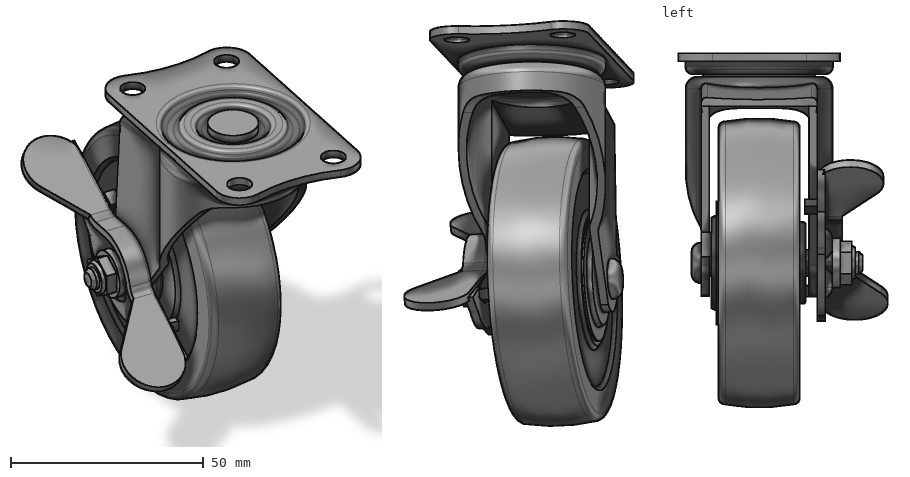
import cadquery as cq
import math


SHEET = 2.1

WHEEL_R = 37.5
TREAD_EDGE_R = 36.7
TREAD_EDGE_Y = 8.8
WHEEL_HALF_W = 10.6
SIDE_FACE_R = 34.7
TREAD_EDGE_BULGE = 0.5
RECESS_OUTER_R = 28.8
RECESS_INNER_R = 18.3
RECESS_SLOPE = 1.1
RECESS_DEPTH = 1.0
RAISED_DISC_R = 16.0
RAISED_DISC_H = 0.5
BACK_COVER_R = 12.4
BACK_COVER_TOP_R = 11.8
BACK_COVER_Y = 12.4
FRONT_COVER_R = 10.7
FRONT_COVER_H = 1.5
FRONT_COVER_ROUND = 0.8
SPACER_R = 3.5

BOLT_R = 2.9
BOLT_HEAD_R = 5.3
BOLT_HEAD_H = 2.5
BOLT_HEAD_ROUND = 2.4
BOLT_END_Y = -26.9
BOLT_TIP_CHAMFER = 1.0
NUT_FLANGE_R = 6.4
NUT_FLANGE_H = 2.0
NUT_FLATS = 9.7
NUT_HEX_H = 3.0
NUT_COLLAR_R = 4.6
NUT_COLLAR_TOP_R = 4.0
NUT_COLLAR_H = 0.9

LEG_INNER_Y = 12.9
LEG_OUTER_Y = LEG_INNER_Y + SHEET
SWIVEL_X = 28.9
CROWN_R = 19.1
CROWN_TOP = 48.3
CROWN_ROUND = 3.1
SKIRT_BOTTOM = 40.1
SKIRT_ROUND = 8.1
LEG_END_R = 8.6
ROOF_START = (-4.1, 43.0)
ROOF_SLOPE = math.radians(10)
ROOF_TIP_X = -7.8
ROOF_ROUND = 1.5
ROOF_TRIM_Z = 39.1
LEG_TO_CROWN_ROUND = 2.5
KINGPIN_R = 6.6
BEARING_R = 14.6

PLATE_TOP = 54.4
PLATE_LENGTH = 70.0
PLATE_WIDTH = 42.0
CORNER_R = 6.8
WAIST_DEPTH = 2.1
HOLE_DIA = 6.5
HOLE_PITCH_X = 56.0
HOLE_PITCH_Y = 28.0
TROUGH_DEPTH = 2.1
CREST_DEPTH = 0.2
DISH_OUTER_R = 19.2
DISH_HEIGHT = 3.3
DISH_ROUND = 2.0

LEVER_BACK_Y = -LEG_OUTER_Y
LEVER_FRONT_Y = LEVER_BACK_Y - SHEET
FLANGE_EDGE_Y = -21.6
ARCH_R = 12.2
PADDLE_SLOPE = math.radians(30)
LEFT_BEND_R = 6.6
RIGHT_BEND_R = 5.1
LEFT_CORNER_X = -7.0
RIGHT_LINE_OFFSET = 6.75
PADDLE_R = 8.6
LEFT_PADDLE_REACH = 16.8
RIGHT_PADDLE_REACH = 18.3
LEFT_PADDLE_Y = LEVER_BACK_Y - PADDLE_R
RIGHT_PADDLE_Y = -24.8
WEB_LEFT_REACH = 22.3
WEB_RIGHT_REACH = 20.3
FOLD_R = 1.0
BEAD_R = 3.0
BEAD_HALF_LENGTH = 6.3
BEAD_TOP_Y = -19.0
LUG_BACK_Y = -11.8
LUG_LENGTH = 4.1
LUG_START = 5.1
SLOT_HEIGHT = 2.9
TONGUE_X = 16.7
TONGUE_BEND_R = 4.5
TONGUE_SLOT_LENGTH = 6.8
TONGUE_Z = -7.3

CLEAR = 60.9


def xz_plane(y):
    """Sketch plane at the given Y whose extrusions run toward -Y."""
    return cq.Workplane("XZ", origin=(0, y, 0))


def turned_about_y(profile):
    """Solid of revolution about the Y axis from (radius, y) points."""
    return cq.Workplane("XY").polyline(profile).close().revolve(360, (0, 0, 0), (0, 1, 0))


def make_wheel():
    inner_edge = RECESS_INNER_R - RECESS_SLOPE
    floor_outer = RECESS_OUTER_R - RECESS_SLOPE
    floor = WHEEL_HALF_W - RECESS_DEPTH
    disc_top = WHEEL_HALF_W + RAISED_DISC_H
    cover_top = WHEEL_HALF_W + FRONT_COVER_H
    edge_mid_r = TREAD_EDGE_R - TREAD_EDGE_BULGE
    edge_mid_y = WHEEL_HALF_W - TREAD_EDGE_BULGE
    section = (
        cq.Workplane("XY")
        .moveTo(BOLT_R, -LEG_INNER_Y)
        .lineTo(SPACER_R, -LEG_INNER_Y)
        .lineTo(SPACER_R, -cover_top)
        .lineTo(FRONT_COVER_R - FRONT_COVER_ROUND, -cover_top)
        .tangentArcPoint((FRONT_COVER_R, FRONT_COVER_ROUND - cover_top), relative=False)
        .lineTo(FRONT_COVER_R, -WHEEL_HALF_W)
        .lineTo(inner_edge, -WHEEL_HALF_W)
        .lineTo(RECESS_INNER_R, -floor)
        .lineTo(floor_outer, -floor)
        .lineTo(RECESS_OUTER_R, -WHEEL_HALF_W)
        .lineTo(SIDE_FACE_R, -WHEEL_HALF_W)
        .threePointArc((edge_mid_r, -edge_mid_y), (TREAD_EDGE_R, -TREAD_EDGE_Y))
        .threePointArc((WHEEL_R, 0), (TREAD_EDGE_R, TREAD_EDGE_Y))
        .threePointArc((edge_mid_r, edge_mid_y), (SIDE_FACE_R, WHEEL_HALF_W))
        .lineTo(RECESS_OUTER_R, WHEEL_HALF_W)
        .lineTo(floor_outer, floor)
        .lineTo(RECESS_INNER_R, floor)
        .lineTo(inner_edge, WHEEL_HALF_W)
        .lineTo(RAISED_DISC_R, WHEEL_HALF_W)
        .lineTo(RAISED_DISC_R, disc_top)
        .lineTo(BACK_COVER_R, disc_top)
        .lineTo(BACK_COVER_TOP_R, BACK_COVER_Y)
        .lineTo(SPACER_R, BACK_COVER_Y)
        .lineTo(SPACER_R, LEG_INNER_Y)
        .lineTo(BOLT_R, LEG_INNER_Y)
        .close()
    )
    return section.revolve(360, (0, 0, 0), (0, 1, 0))


def make_bolt():
    length = LEG_OUTER_Y - BOLT_END_Y
    shank = xz_plane(LEG_OUTER_Y).circle(BOLT_R).extrude(length)
    shank = shank.faces("<Y").chamfer(BOLT_TIP_CHAMFER)
    head = xz_plane(LEG_OUTER_Y).circle(BOLT_HEAD_R).extrude(-BOLT_HEAD_H)
    head = head.faces(">Y").edges().fillet(BOLT_HEAD_ROUND)
    return shank.union(head)


def make_nut():
    hex_y = BEAD_TOP_Y - NUT_FLANGE_H
    collar_y = hex_y - NUT_HEX_H
    corner_diameter = NUT_FLATS / math.cos(math.pi / 6)
    flange = xz_plane(BEAD_TOP_Y).circle(NUT_FLANGE_R).extrude(NUT_FLANGE_H)
    hexagon = (
        cq.Workplane("XZ", origin=(0, hex_y, 0))
        .transformed(rotate=(0, 0, 30))
        .polygon(6, corner_diameter)
        .extrude(NUT_HEX_H)
    )
    collar = turned_about_y([
        (0, collar_y),
        (NUT_COLLAR_R, collar_y),
        (NUT_COLLAR_TOP_R, collar_y - NUT_COLLAR_H),
        (0, collar_y - NUT_COLLAR_H),
    ])
    bore = xz_plane(BEAD_TOP_Y).circle(BOLT_R).extrude(CLEAR)
    return flange.union(hexagon).union(collar).cut(bore)


def fork_block(inset):
    """Crown and leg block, shrunk on every outer side by the inset."""
    crown = (
        cq.Workplane("XY", origin=(SWIVEL_X, 0, -CLEAR))
        .circle(CROWN_R - inset)
        .extrude(CLEAR + CROWN_TOP - inset)
        .faces(">Z").edges().fillet(CROWN_ROUND - inset)
    )
    back_x = ROOF_TIP_X - SHEET
    front_x = SWIVEL_X - CROWN_R / 2
    rise = math.tan(ROOF_SLOPE)
    start_z = ROOF_START[1] - inset / math.cos(ROOF_SLOPE)
    half_width = LEG_OUTER_Y - inset
    legs = (
        xz_plane(half_width)
        .polyline([
            (back_x, -CLEAR),
            (front_x, -CLEAR),
            (front_x, start_z + (front_x - ROOF_START[0]) * rise),
            (back_x, start_z + (back_x - ROOF_START[0]) * rise),
        ])
        .close()
        .extrude(2 * half_width)
    )
    if inset < ROOF_ROUND:
        legs = legs.faces(">Z").edges("#Y").edges("<Y or >Y").fillet(ROOF_ROUND - inset)
    return crown.union(legs)


def leg_to_crown_blend(side):
    """Hollow upright fillet where a leg runs into the round crown."""
    centre_y = LEG_OUTER_Y + LEG_TO_CROWN_ROUND
    centre_dx = math.sqrt((CROWN_R + LEG_TO_CROWN_ROUND) ** 2 - centre_y ** 2)
    centre_x = SWIVEL_X - centre_dx
    share = CROWN_R / (CROWN_R + LEG_TO_CROWN_ROUND)
    crown_touch = (SWIVEL_X - centre_dx * share, side * centre_y * share)
    leg_touch = (centre_x, side * LEG_OUTER_Y)
    toward_seam = math.atan2(crown_touch[1] + leg_touch[1] - 2 * side * centre_y,
                             crown_touch[0] + leg_touch[0] - 2 * centre_x)
    arc_middle = (centre_x + LEG_TO_CROWN_ROUND * math.cos(toward_seam),
                  side * centre_y + LEG_TO_CROWN_ROUND * math.sin(toward_seam))
    root = (SWIVEL_X - CROWN_R / 2, side * (LEG_OUTER_Y - SHEET / 2))
    return (
        cq.Workplane("XY", origin=(0, 0, -CLEAR))
        .moveTo(*leg_touch)
        .threePointArc(arc_middle, crown_touch)
        .lineTo(*root)
        .lineTo(leg_touch[0], root[1])
        .close()
        .extrude(CLEAR + CROWN_TOP - CROWN_ROUND)
    )


def fork_side_outline():
    """Block with the side outline of the fork: rounded leg end, slanted edges, skirt."""
    leg_front_foot = (3.9, -7.7)
    leg_back_foot = (-7.3, -0.5)
    leg_back_top = (-4.1, 40.6)
    front_edge_slope = 0.79
    rise = SKIRT_BOTTOM - leg_front_foot[1]
    corner_x = leg_front_foot[0] + rise * front_edge_slope
    blank = (
        xz_plane(CLEAR)
        .moveTo(*leg_back_foot)
        .threePointArc((0, -LEG_END_R), leg_front_foot)
        .lineTo(corner_x, SKIRT_BOTTOM)
        .lineTo(CLEAR, SKIRT_BOTTOM)
        .lineTo(CLEAR, CLEAR)
        .lineTo(ROOF_TIP_X - SHEET, CLEAR)
        .lineTo(ROOF_TIP_X - SHEET, leg_back_top[1])
        .lineTo(*leg_back_top)
        .close()
        .extrude(2 * CLEAR)
    )
    at_corner = cq.selectors.NearestToPointSelector((corner_x, 0, SKIRT_BOTTOM))
    return blank.edges("|Y").edges(at_corner).fillet(SKIRT_ROUND)


def roof_end_trim():
    """Everything behind the bowed free edge of the roof."""
    return (
        cq.Workplane("XY", origin=(0, 0, ROOF_TRIM_Z))
        .moveTo(ROOF_START[0], -LEG_OUTER_Y)
        .threePointArc((ROOF_TIP_X, 0), (ROOF_START[0], LEG_OUTER_Y))
        .lineTo(-CLEAR, LEG_OUTER_Y)
        .lineTo(-CLEAR, -LEG_OUTER_Y)
        .close()
        .extrude(CLEAR)
    )


def stop_lug():
    """Lug with a slanted back on the rear edge of the +Y leg."""
    back_foot_x = -11.8
    back_top_x = -10.4
    root_x = -6.6
    bottom_z = 1.6
    height = 6.3
    return (
        cq.Workplane("XY", origin=(0, 0, bottom_z))
        .polyline([
            (back_foot_x, BACK_COVER_Y),
            (root_x, BACK_COVER_Y),
            (root_x, LEG_OUTER_Y),
            (back_top_x, LEG_OUTER_Y),
        ])
        .close()
        .extrude(height)
    )


def make_fork():
    shell = fork_block(0)
    for side in (-1, 1):
        shell = shell.union(leg_to_crown_blend(side))
    shell = shell.cut(fork_block(SHEET))
    shell = shell.intersect(fork_side_outline()).cut(roof_end_trim())

    dish_bottom = PLATE_TOP - SHEET - DISH_HEIGHT
    crown_base = cq.Workplane("XY", origin=(SWIVEL_X, 0, CROWN_TOP - SHEET))
    bearing = crown_base.circle(BEARING_R).extrude(dish_bottom - CROWN_TOP + SHEET)
    kingpin = crown_base.circle(KINGPIN_R).extrude(PLATE_TOP - CROWN_TOP + SHEET)
    axle_hole = xz_plane(CLEAR).circle(BOLT_R).extrude(2 * CLEAR)
    return shell.union(stop_lug()).union(bearing).union(kingpin).cut(axle_hole)


def plate_blank():
    half_l = PLATE_LENGTH / 2
    half_w = PLATE_WIDTH / 2
    corner_x = half_l - CORNER_R
    corner_y = half_w - CORNER_R
    waist_x = half_l - WAIST_DEPTH
    gap = waist_x - corner_x
    waist_r = (gap ** 2 + corner_y ** 2 - CORNER_R ** 2) / (2 * (CORNER_R - gap))
    share = CORNER_R / (waist_r + CORNER_R)
    touch_x = corner_x + share * (waist_x + waist_r - corner_x)
    touch_y = corner_y * (1 - share)
    return (
        cq.Workplane("XY", origin=(SWIVEL_X, 0, PLATE_TOP))
        .moveTo(-corner_x, half_w)
        .lineTo(corner_x, half_w)
        .threePointArc((corner_x + CORNER_R * math.sqrt(0.5), corner_y + CORNER_R * math.sqrt(0.5)),
                       (half_l, corner_y))
        .tangentArcPoint((touch_x, touch_y), relative=False)
        .threePointArc((waist_x, 0), (touch_x, -touch_y))
        .tangentArcPoint((half_l, -corner_y), relative=False)
        .tangentArcPoint((corner_x, -half_w), relative=False)
        .lineTo(-corner_x, -half_w)
        .tangentArcPoint((-half_l, -corner_y), relative=False)
        .tangentArcPoint((-touch_x, -touch_y), relative=False)
        .threePointArc((-waist_x, 0), (-touch_x, touch_y))
        .tangentArcPoint((-half_l, corner_y), relative=False)
        .tangentArcPoint((-corner_x, half_w), relative=False)
        .close()
        .extrude(-SHEET)
    )


def s_bend(sketch, start, end):
    """Two equal tangent arcs between two level stretches."""
    middle = ((start[0] + end[0]) / 2, (start[1] + end[1]) / 2)
    return sketch.tangentArcPoint(middle, relative=False).tangentArcPoint(end, relative=False)


def dish_cavity():
    """Rounded annular trough, crest and inner trough around the kingpin."""
    trough = -TROUGH_DEPTH
    rim = (20.0, 0)
    trough_outer = (17.3, trough)
    trough_inner = (15.5, trough)
    crest_outer = (12.8, -CREST_DEPTH)
    crest_inner = (11.1, -CREST_DEPTH)
    pin_trough = (8.2, trough)
    sketch = (
        cq.Workplane("XZ", origin=(SWIVEL_X, 0, PLATE_TOP))
        .moveTo(0, SHEET)
        .lineTo(rim[0] + SHEET, SHEET)
        .lineTo(rim[0] + SHEET, 0)
        .lineTo(*rim)
    )
    sketch = s_bend(sketch, rim, trough_outer).lineTo(*trough_inner)
    sketch = s_bend(sketch, trough_inner, crest_outer).lineTo(*crest_inner)
    sketch = s_bend(sketch, crest_inner, pin_trough).lineTo(0, trough)
    return sketch.close().revolve(360, (0, 0, 0), (0, 1, 0))


def make_top_plate():
    dish = (
        cq.Workplane("XY", origin=(SWIVEL_X, 0, PLATE_TOP - SHEET))
        .circle(DISH_OUTER_R)
        .extrude(-DISH_HEIGHT)
        .faces("<Z").edges().fillet(DISH_ROUND)
    )
    holes = (
        cq.Workplane("XY", origin=(SWIVEL_X, 0, PLATE_TOP))
        .rarray(HOLE_PITCH_X, HOLE_PITCH_Y, 2, 2)
        .circle(HOLE_DIA / 2)
        .extrude(-SHEET)
    )
    pin_hole = cq.Workplane("XY", origin=(SWIVEL_X, 0, 0)).circle(KINGPIN_R).extrude(CLEAR)
    return plate_blank().union(dish).cut(dish_cavity()).cut(holes).cut(pin_hole)


SIN_P = math.sin(PADDLE_SLOPE)
COS_P = math.cos(PADDLE_SLOPE)


def along_paddle(point, distance):
    """Point moved down the paddle slope, toward +X."""
    return (point[0] + distance * COS_P, point[1] - distance * SIN_P)


BEND_SETBACK = LEFT_BEND_R * math.tan(PADDLE_SLOPE / 2)
LEFT_BEND = along_paddle((LEFT_CORNER_X, ARCH_R), -BEND_SETBACK)
LEFT_FLAT = (LEFT_CORNER_X + BEND_SETBACK, ARCH_R)
REVERSE_ALONG = math.sqrt((ARCH_R + RIGHT_BEND_R) ** 2 - (RIGHT_LINE_OFFSET + RIGHT_BEND_R) ** 2)
LINE_FOOT = (RIGHT_LINE_OFFSET * SIN_P, RIGHT_LINE_OFFSET * COS_P)
RIGHT_BEND = along_paddle(LINE_FOOT, REVERSE_ALONG)
REVERSE_CENTRE = (RIGHT_BEND[0] + RIGHT_BEND_R * SIN_P, RIGHT_BEND[1] + RIGHT_BEND_R * COS_P)
ARCH_SHARE = ARCH_R / (ARCH_R + RIGHT_BEND_R)
ARCH_END = (REVERSE_CENTRE[0] * ARCH_SHARE, REVERSE_CENTRE[1] * ARCH_SHARE)


def draw_flange_line(sketch):
    """Mid-thickness line of the flange, from the left bend to the right bend."""
    return (
        sketch
        .tangentArcPoint(LEFT_FLAT, relative=False)
        .lineTo(0, ARCH_R)
        .tangentArcPoint(ARCH_END, relative=False)
        .tangentArcPoint(RIGHT_BEND, relative=False)
    )


def make_flange():
    overlap = 1.0
    lead = along_paddle(LEFT_BEND, -overlap)
    path = draw_flange_line(xz_plane(0).moveTo(*lead).lineTo(*LEFT_BEND))
    width = LEVER_BACK_Y - FLANGE_EDGE_Y
    middle_y = (LEVER_BACK_Y + FLANGE_EDGE_Y) / 2
    start = cq.Plane(origin=(lead[0], 0, lead[1]), xDir=(0, 1, 0), normal=(COS_P, 0, -SIN_P))
    strip = cq.Workplane(start).center(middle_y, 0).rect(width, SHEET).sweep(path)
    flat_top_edge = (LEFT_FLAT[0] / 2, LEVER_BACK_Y, ARCH_R + SHEET / 2)
    fold_edge = cq.selectors.NearestToPointSelector(flat_top_edge)
    return strip.faces(">Y").edges(fold_edge).fillet(FOLD_R)


def tangent_touch(point, centre, radius, side):
    """Where the tangent from a point touches a circle, on the chosen side."""
    dx = point[0] - centre[0]
    dy = point[1] - centre[1]
    angle = math.atan2(dy, dx) + side * math.acos(radius / math.hypot(dx, dy))
    return (centre[0] + radius * math.cos(angle), centre[1] + radius * math.sin(angle))


def make_paddle(bend, direction, reach, centre_y):
    """Sloping foot pad; direction is -1 for uphill (left) and 1 for downhill (right)."""
    back = (0, LEVER_BACK_Y)
    front = (0, FLANGE_EDGE_Y)
    centre = (direction * reach, centre_y)
    back_touch = tangent_touch(back, centre, PADDLE_R, -direction)
    front_touch = tangent_touch(front, centre, PADDLE_R, direction)
    pad = (
        cq.Workplane("XY", origin=(0, 0, -SHEET / 2))
        .moveTo(*back)
        .lineTo(*back_touch)
        .threePointArc((centre[0] + direction * PADDLE_R, centre_y), front_touch)
        .lineTo(*front)
        .close()
        .extrude(SHEET)
    )
    rounded_stock = (
        cq.Workplane("XY")
        .box(2 * CLEAR, CLEAR, SHEET)
        .translate((0, LEVER_BACK_Y - CLEAR / 2, 0))
        .edges(">Y and >Z").fillet(FOLD_R)
    )
    pad = pad.intersect(rounded_stock)
    return pad.rotate((0, 0, 0), (0, 1, 0), math.degrees(PADDLE_SLOPE)).translate((bend[0], 0, bend[1]))


def make_lever_web():
    """Flat web below the flange, with a scalloped lower outline."""
    left_top = along_paddle(LEFT_BEND, -WEB_LEFT_REACH)
    right_top = along_paddle(RIGHT_BEND, WEB_RIGHT_REACH)
    belly_end = (10.1, -13.6)
    belly_bottom = (1.8, -13.7)
    right_lobe_end = (25.3, -12.9)
    step_bottom = (-16.2, 2.2)
    step_top = (-17.9, 4.0)
    left_lobe_end = (-22.1, 13.3)
    sketch = xz_plane(LEVER_BACK_Y).moveTo(*left_top).lineTo(*LEFT_BEND)
    return (
        draw_flange_line(sketch)
        .lineTo(*right_top)
        .threePointArc((28.7, -11.8), right_lobe_end)
        .threePointArc((17.7, -15.1), belly_end)
        .lineTo(*belly_bottom)
        .threePointArc((-10.6, -7.4), step_bottom)
        .lineTo(*step_top)
        .threePointArc((-20.9, 8.5), left_lobe_end)
        .threePointArc((-26.0, 17.3), left_top)
        .close()
        .extrude(SHEET)
    )


def make_bead():
    """Raised rounded rib that runs up and down across the axle hole."""
    axis_y = BEAD_TOP_Y + BEAD_R
    bead = (
        cq.Workplane("XY", origin=(0, axis_y, -BEAD_HALF_LENGTH))
        .circle(BEAD_R)
        .extrude(2 * BEAD_HALF_LENGTH)
    )
    for end in (-1, 1):
        bead = bead.union(cq.Workplane("XY").sphere(BEAD_R).translate((0, axis_y, end * BEAD_HALF_LENGTH)))
    return bead.intersect(xz_plane(LEVER_BACK_Y).rect(CLEAR, CLEAR).extrude(CLEAR))


def sloped_bar(start, length, height, y_from, y_to):
    """Bar below a point on the left paddle line, parallel to the paddle."""
    bar = cq.Workplane("XY").box(length, y_from - y_to, height, centered=False)
    bar = bar.translate((0, y_to, -height))
    return bar.rotate((0, 0, 0), (0, 1, 0), math.degrees(PADDLE_SLOPE)).translate((start[0], 0, start[1]))


def make_tongue():
    """Tongue pressed out of the web and bent through a quarter turn toward the wheel."""
    bend_y = LEVER_FRONT_Y + TONGUE_BEND_R
    inner_r = TONGUE_BEND_R - SHEET
    half = math.sqrt(0.5)
    return (
        cq.Workplane("XY", origin=(TONGUE_X, bend_y, TONGUE_Z - SLOT_HEIGHT / 2))
        .moveTo(0, -TONGUE_BEND_R)
        .threePointArc((TONGUE_BEND_R * half, -TONGUE_BEND_R * half), (TONGUE_BEND_R, 0))
        .lineTo(TONGUE_BEND_R, LUG_BACK_Y - bend_y)
        .lineTo(inner_r, LUG_BACK_Y - bend_y)
        .lineTo(inner_r, 0)
        .threePointArc((inner_r * half, -inner_r * half), (0, -inner_r))
        .close()
        .extrude(SLOT_HEIGHT)
    )


def make_brake_lever():
    lever = make_lever_web().union(make_flange())
    lever = lever.union(make_paddle(LEFT_BEND, -1, LEFT_PADDLE_REACH, LEFT_PADDLE_Y))
    lever = lever.union(make_paddle(RIGHT_BEND, 1, RIGHT_PADDLE_REACH, RIGHT_PADDLE_Y))

    line_point = along_paddle(LEFT_BEND, -LUG_START)
    top = (line_point[0] + SIN_P * SHEET / 2, line_point[1] + COS_P * SHEET / 2)
    bottom = (line_point[0] - SIN_P * SHEET / 2, line_point[1] - COS_P * SHEET / 2)
    lug = sloped_bar(top, LUG_LENGTH, SHEET, LUG_BACK_Y, LEVER_BACK_Y)
    lug_slot = sloped_bar(bottom, LUG_LENGTH, SLOT_HEIGHT, LEVER_BACK_Y, LEVER_FRONT_Y)
    tongue_slot = (
        xz_plane(LEVER_BACK_Y)
        .center(TONGUE_X + TONGUE_SLOT_LENGTH / 2, TONGUE_Z)
        .rect(TONGUE_SLOT_LENGTH, SLOT_HEIGHT)
        .extrude(SHEET)
    )
    lever = lever.cut(tongue_slot).cut(lug_slot)
    lever = lever.union(lug).union(make_tongue()).union(make_bead())
    axle_hole = xz_plane(LEVER_BACK_Y).circle(BOLT_R).extrude(CLEAR)
    return lever.cut(axle_hole)


top_plate = make_top_plate()
fork = make_fork()
wheel = make_wheel()
axle_bolt = make_bolt()
nut = make_nut()
brake_lever = make_brake_lever()

result = cq.Compound.makeCompound([
    top_plate.val(),
    fork.val(),
    wheel.val(),
    axle_bolt.val(),
    nut.val(),
    brake_lever.val(),
])